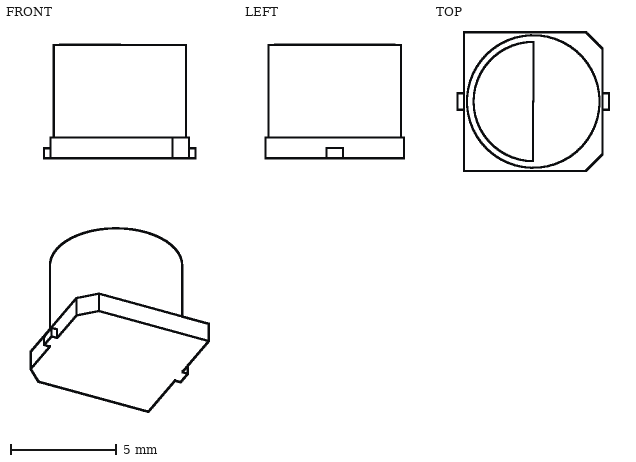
import cadquery as cq

base_side = 6.6
base_height = 1.0
corner_cut = 0.8

can_diameter = 6.3
can_top = 5.4

mark_radius = 0.9 * can_diameter / 2
mark_thickness = 0.01

lead_span = 7.2
lead_width = 0.8
lead_height = 0.5


def make_base():
    plate = cq.Workplane("XY").box(base_side, base_side, base_height, centered=(True, True, False))
    return plate.edges("|Z and >X").chamfer(corner_cut)


def make_can():
    can_height = can_top - base_height
    return cq.Workplane("XY").workplane(offset=base_height).circle(can_diameter / 2).extrude(can_height)


def make_mark():
    return (
        cq.Workplane("XY")
        .workplane(offset=can_top)
        .moveTo(0, mark_radius)
        .threePointArc((-mark_radius, 0), (0, -mark_radius))
        .close()
        .extrude(mark_thickness)
    )


def make_leads():
    return cq.Workplane("XY").box(lead_span, lead_width, lead_height, centered=(True, True, False))


result = make_base().union(make_can()).union(make_mark()).union(make_leads())